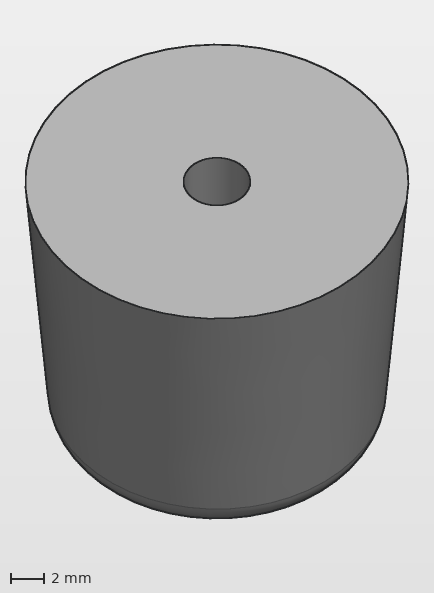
import cadquery as cq

top_diameter = 23.0
bottom_diameter = 20.0
height = 20.0
bore_diameter = 4.0
base_edge_radius = 2.5


def make_tapered_body():
    """Cone widening upward, with a rounded lower edge and a through bore."""
    body = (
        cq.Workplane("XY")
        .circle(bottom_diameter / 2)
        .workplane(offset=height)
        .circle(top_diameter / 2)
        .loft(ruled=True)
    )
    body = body.faces("<Z").edges().fillet(base_edge_radius)
    return body.faces(">Z").workplane().hole(bore_diameter)


tapered_body = make_tapered_body()

result = cq.Compound.makeCompound([tapered_body.val()])